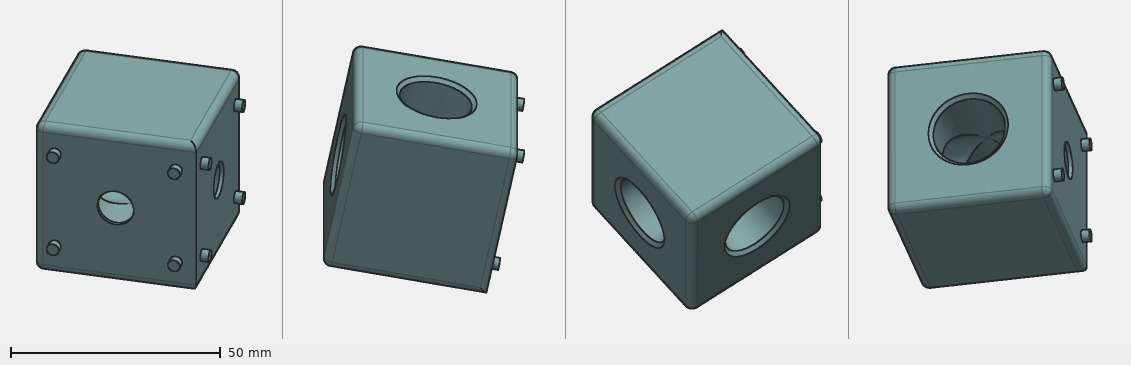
import cadquery as cq

block_side = 40.0
half_side = block_side / 2
edge_radius = 2.0

pin_diameter = 3.0
pin_length = 2.0
pin_spacing_across = 30.0
pin_spacing_high = 25.0

mouth_diameter = 19.5
passage_diameter = 17.5
outlet_diameter = 9.0
lip_thickness = 1.0
chamfer_depth = (mouth_diameter - passage_diameter) / 2
cone_depth = (passage_diameter - outlet_diameter) / 2


def make_block():
    """Cube with every edge rounded except the vertical one between the pin faces."""
    sharp_corner = cq.selectors.NearestToPointSelector((half_side, -half_side, 0))
    all_edges = cq.selectors.StringSyntaxSelector("#X or #Y or #Z")
    rounded_edges = cq.selectors.SubtractSelector(all_edges, sharp_corner)
    return cq.Workplane("XY").box(block_side, block_side, block_side).edges(rounded_edges).fillet(edge_radius)


def make_pins(face_plane):
    """Four pins standing on a face."""
    return (
        cq.Workplane(face_plane)
        .rect(pin_spacing_across, pin_spacing_high, forConstruction=True)
        .vertices()
        .circle(pin_diameter / 2)
        .extrude(pin_length)
    )


def make_passage():
    """Passage along X: chamfered mouth at -X, straight bore, cone and thin-lipped outlet at +X."""
    cone_end = half_side - lip_thickness
    return (
        cq.Workplane("XY")
        .moveTo(-half_side, 0)
        .lineTo(-half_side, mouth_diameter / 2)
        .lineTo(-half_side + chamfer_depth, passage_diameter / 2)
        .lineTo(cone_end - cone_depth, passage_diameter / 2)
        .lineTo(cone_end, outlet_diameter / 2)
        .lineTo(half_side, outlet_diameter / 2)
        .lineTo(half_side, 0)
        .close()
        .revolve(360, (0, 0, 0), (1, 0, 0))
    )


front_face = cq.Plane(origin=(0, -half_side, 0), xDir=(1, 0, 0), normal=(0, -1, 0))
side_face = cq.Plane(origin=(half_side, 0, 0), xDir=(0, 1, 0), normal=(1, 0, 0))

result = make_block()
for pin_face in (front_face, side_face):
    result = result.union(make_pins(pin_face))

for turn_angle in (0, -90):
    result = result.cut(make_passage().rotate((0, 0, 0), (0, 0, 1), turn_angle))